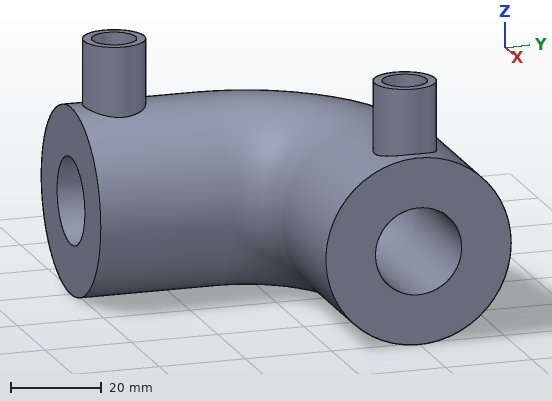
import cadquery as cq

body_diameter = 43.0
bore_diameter = 20.0
bend_radius = 30.0
straight_length = 31.0

port_diameter = 14.0
port_bore_diameter = 10.0
port_top = 36.5
port_end_distance = 10.0

leg_end_y = -straight_length
leg_end_x = bend_radius + straight_length
port_positions = [
    (0, leg_end_y + port_end_distance),
    (leg_end_x - port_end_distance, bend_radius),
]


def elbow(diameter):
    """Solid round bar following the elbow centreline, with both straight legs."""
    radius = diameter / 2
    inlet_leg = cq.Workplane("XZ").circle(radius).extrude(straight_length)
    bend = (
        cq.Workplane("XZ")
        .circle(radius)
        .revolve(90, (bend_radius, 1, 0), (bend_radius, 0, 0))
    )
    outlet_leg = (
        cq.Workplane("YZ", origin=(bend_radius, bend_radius, 0))
        .circle(radius)
        .extrude(straight_length)
    )
    return inlet_leg.union(bend).union(outlet_leg)


def ports(diameter):
    """Vertical cylinders from the elbow centreline up to the port rims."""
    return (
        cq.Workplane("XY")
        .pushPoints(port_positions)
        .circle(diameter / 2)
        .extrude(port_top)
    )


port_tubes = ports(port_diameter).cut(ports(port_bore_diameter))
result = elbow(body_diameter).union(port_tubes).cut(elbow(bore_diameter))